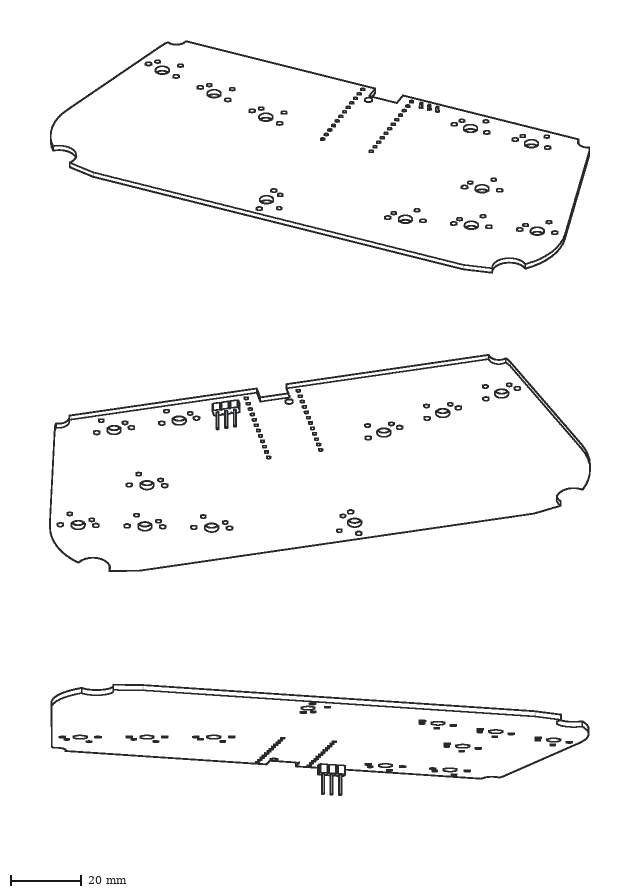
import cadquery as cq
import math

board_width = 157.0
board_depth = 72.2
board_thickness = 1.5
side_slant = 15.0
lower_corner_radius = 20.7
lower_flat_turn = 24.5
rear_corner_radius = 6.0
rear_y = board_depth / 2
front_y = -board_depth / 2

rear_bite_radius = 3.0
rear_bite_x = 64.4
rear_bite_y = rear_y
front_bite_radius = 4.9
front_bite_x = 70.4
front_bite_y = -32.0

notch_left_x = -2.2
notch_width = 8.6
notch_depth = 4.2
notch_hole_diameter = 2.2
notch_hole_center = (-1.5, 30.0)

controller_row_spacing = 15.2
controller_hole_diameter = 1.1
controller_holes_per_row = 12
controller_center_x = 2.4
controller_rear_y = 34.2
pin_pitch = controller_row_spacing / 6

switch_center_diameter = 4.0
switch_peg_diameter = 1.7
switch_pin_diameter = 1.49
switch_peg_offset = 2 * pin_pitch
switch_pin_offsets = [(-1.5 * pin_pitch, pin_pitch), (pin_pitch, 2 * pin_pitch)]

switch_pitch = 7.5 * pin_pitch
switch_rows = [
    ((-61.4, 19.8), -15.0, 3),
    ((31.0, 28.6), 0.0, 2),
    ((46.6, 1.7), 15.0, 1),
    ((33.1, -21.5), 15.0, 3),
    ((-7.0, -28.6), -90.0, 1),
]

header_pin_count = 3
header_center = (16.2, 32.8)
header_hole_diameter = 1.0
header_block_height = pin_pitch
header_block_chamfer = 0.3
header_pin_width = 0.65
header_pin_length = 11.5
header_pin_tip = 0.2
header_pin_rise = 1.4


def make_outline():
    """Trapezoid with rounded corners, centred on the Z axis."""
    slant = math.radians(side_slant)
    arc_center_x = board_width / 2 - lower_corner_radius
    arc_center_y = front_y + lower_corner_radius
    side_x = arc_center_x + lower_corner_radius * math.cos(slant)
    side_y = arc_center_y + lower_corner_radius * math.sin(slant)
    rear_x = side_x - (rear_y - side_y) * math.tan(slant)
    arc_end = math.radians(lower_flat_turn) - math.pi / 2
    end_x = arc_center_x + lower_corner_radius * math.cos(arc_end)
    end_y = arc_center_y + lower_corner_radius * math.sin(arc_end)
    arc_middle = (slant + arc_end) / 2
    middle_x = arc_center_x + lower_corner_radius * math.cos(arc_middle)
    middle_y = arc_center_y + lower_corner_radius * math.sin(arc_middle)
    return (
        cq.Workplane("XY")
        .moveTo(-arc_center_x, front_y)
        .lineTo(arc_center_x, front_y)
        .lineTo(end_x, end_y)
        .threePointArc((middle_x, middle_y), (side_x, side_y))
        .lineTo(rear_x, rear_y)
        .lineTo(-rear_x, rear_y)
        .lineTo(-side_x, side_y)
        .threePointArc((-middle_x, middle_y), (-end_x, end_y))
        .close()
        .extrude(board_thickness)
        .edges("|Z and >Y")
        .fillet(rear_corner_radius)
    )


def cylinders(points, diameter):
    """Cutters through the full board thickness."""
    return cq.Workplane("XY").pushPoints(points).circle(diameter / 2).extrude(board_thickness)


def place(offset, center, angle):
    """Turn an offset by an angle in degrees and move it to a center."""
    turn = math.radians(angle)
    x = center[0] + offset[0] * math.cos(turn) - offset[1] * math.sin(turn)
    y = center[1] + offset[0] * math.sin(turn) + offset[1] * math.cos(turn)
    return (x, y)


def cut_corner_bites(board):
    rear_points = [(side * rear_bite_x, rear_bite_y) for side in (-1, 1)]
    front_points = [(side * front_bite_x, front_bite_y) for side in (-1, 1)]
    board = board.cut(cylinders(rear_points, 2 * rear_bite_radius))
    return board.cut(cylinders(front_points, 2 * front_bite_radius))


def cut_connector_notch(board):
    notch = (
        cq.Workplane("XY")
        .moveTo(notch_left_x, rear_y - notch_depth)
        .rect(notch_width, notch_depth, centered=False)
        .extrude(board_thickness)
    )
    return board.cut(notch).cut(cylinders([notch_hole_center], notch_hole_diameter))


def cut_controller_holes(board):
    points = [
        (controller_center_x + side * controller_row_spacing / 2, controller_rear_y - index * pin_pitch)
        for side in (-1, 1)
        for index in range(controller_holes_per_row)
    ]
    return board.cut(cylinders(points, controller_hole_diameter))


def cut_switch_holes(board):
    centers = []
    pegs = []
    pins = []
    for first_center, angle, count in switch_rows:
        for index in range(count):
            center = place((index * switch_pitch, 0), first_center, angle)
            centers.append(center)
            for side in (-1, 1):
                pegs.append(place((side * switch_peg_offset, 0), center, angle))
            for offset in switch_pin_offsets:
                pins.append(place(offset, center, angle))
    board = board.cut(cylinders(centers, switch_center_diameter))
    board = board.cut(cylinders(pegs, switch_peg_diameter))
    return board.cut(cylinders(pins, switch_pin_diameter))


def header_points():
    """Pin axes of the header, in a row along X."""
    middle = (header_pin_count - 1) / 2
    return [
        (header_center[0] + (index - middle) * pin_pitch, header_center[1])
        for index in range(header_pin_count)
    ]


def make_board():
    board = make_outline()
    board = cut_corner_bites(board)
    board = cut_connector_notch(board)
    board = cut_controller_holes(board)
    board = cut_switch_holes(board)
    return board.cut(cylinders(header_points(), header_hole_diameter))


def make_header():
    """Eight-sided blocks joined in a row under the board, each with a square pin through it."""
    block = (
        cq.Workplane("XY")
        .rect(pin_pitch, pin_pitch)
        .extrude(-header_block_height)
        .edges("|Z")
        .chamfer(header_block_chamfer)
    )
    pin = (
        cq.Workplane("XY")
        .workplane(offset=board_thickness + header_pin_rise)
        .rect(header_pin_width, header_pin_width)
        .extrude(-header_pin_length)
        .faces("<Z or >Z")
        .chamfer(header_pin_tip)
    )
    unit = block.union(pin)
    header = cq.Workplane("XY")
    for x, y in header_points():
        header = header.union(unit.translate((x, y, 0)))
    return header


board = make_board()
header = make_header()
result = cq.Compound.makeCompound([board.val(), header.val()])